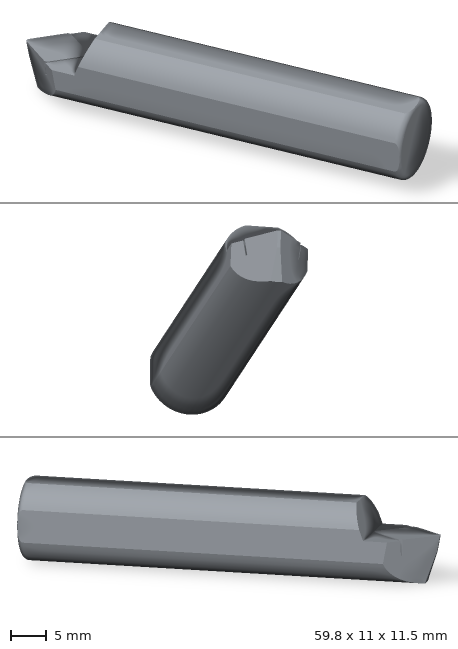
import cadquery as cq
import math

length = 59.8
bar_radius = 6.0
flat_distance = 5.5
tail_fillet = 0.9

nose_half_angle = math.radians(40)
relief = math.tan(math.radians(7))
seat_top = 0.8
shoulder_x = 9.75
shoulder_run = 1.75
nose_bottom_x = 2.05

insert_top = 0.95
insert_thickness = 2.4
insert_bottom = insert_top - insert_thickness
nose_half_width = 0.25
side_blunt = 0.25
insert_center_x = 4.7
nose_inset = nose_half_width / math.tan(nose_half_angle)
half_diagonal = insert_center_x + nose_inset

corner_slope = relief / math.sin(nose_half_angle)
nose_x_at_insert_bottom = insert_thickness * corner_slope


def loft_between(lower_points, lower_z, upper_points, upper_z):
    """Straight-sided solid between two horizontal outlines."""
    return (
        cq.Workplane("XY", origin=(0, 0, lower_z)).polyline(lower_points).close()
        .workplane(offset=upper_z - lower_z).polyline(upper_points).close()
        .loft(ruled=True, combine=True)
    )


def half_diagonals(z):
    """Long (X) and short (Y) half diagonals of the insert's sharp rhombus."""
    long_half = half_diagonal - (insert_top - z) * corner_slope
    return long_half, long_half * math.tan(nose_half_angle)


def sharp_rhombus(z):
    long_half, short_half = half_diagonals(z)
    return [
        (insert_center_x - long_half, 0),
        (insert_center_x, -short_half),
        (insert_center_x + long_half, 0),
        (insert_center_x, short_half),
    ]


def blunted_rhombus(z):
    long_half, short_half = half_diagonals(z)
    end = long_half - nose_inset
    side = short_half - side_blunt * math.tan(nose_half_angle)
    return [
        (insert_center_x - end, -nose_half_width),
        (insert_center_x - side_blunt, -side),
        (insert_center_x + side_blunt, -side),
        (insert_center_x + end, -nose_half_width),
        (insert_center_x + end, nose_half_width),
        (insert_center_x + side_blunt, side),
        (insert_center_x - side_blunt, side),
        (insert_center_x - end, nose_half_width),
    ]


def make_bar():
    """Revolved bar with a rounded tail rim, trimmed by its three flats."""
    bar = (
        cq.Workplane("XZ")
        .moveTo(0, 0)
        .lineTo(0, bar_radius)
        .lineTo(length - tail_fillet, bar_radius)
        .radiusArc((length, bar_radius - tail_fillet), tail_fillet)
        .lineTo(length, 0)
        .close()
        .revolve(360, (0, 0, 0), (1, 0, 0))
    )
    flats = cq.Workplane("XY").box(
        length, 2 * flat_distance, bar_radius + flat_distance, centered=(False, True, False)
    ).translate((0, 0, -bar_radius))
    return bar.intersect(flats)


def make_side_profile():
    """Extruded side outline giving the nose facet, open face and shoulder."""
    nose_slope = (nose_bottom_x - nose_x_at_insert_bottom) / (insert_bottom + bar_radius)
    nose_top_x = nose_x_at_insert_bottom - (seat_top - insert_bottom) * nose_slope
    return (
        cq.Workplane("XZ")
        .polyline([
            (nose_bottom_x, -bar_radius),
            (nose_top_x, seat_top),
            (shoulder_x, seat_top),
            (shoulder_x + shoulder_run, flat_distance),
            (length, flat_distance),
            (length, -bar_radius),
        ])
        .close()
        .extrude(bar_radius, both=True)
    )


def flank_outline(z):
    """Pointed outline whose sides continue the insert's two front flanks."""
    tip_x = insert_center_x - half_diagonals(z)[0]
    flank_half_width = 2 * bar_radius
    flank_end_x = tip_x + flank_half_width / math.tan(nose_half_angle)
    return [
        (tip_x, 0),
        (flank_end_x, -flank_half_width),
        (length, -flank_half_width),
        (length, flank_half_width),
        (flank_end_x, flank_half_width),
    ]


def make_holder():
    flanks = loft_between(
        flank_outline(-bar_radius), -bar_radius, flank_outline(bar_radius), bar_radius
    )
    pocket = loft_between(
        sharp_rhombus(insert_bottom), insert_bottom, sharp_rhombus(insert_top), insert_top
    )
    return make_bar().intersect(make_side_profile()).intersect(flanks).cut(pocket)


def make_insert():
    return loft_between(
        blunted_rhombus(insert_bottom), insert_bottom, blunted_rhombus(insert_top), insert_top
    )


holder = make_holder()
insert = make_insert()

result = cq.Compound.makeCompound([holder.solids().val(), insert.solids().val()])